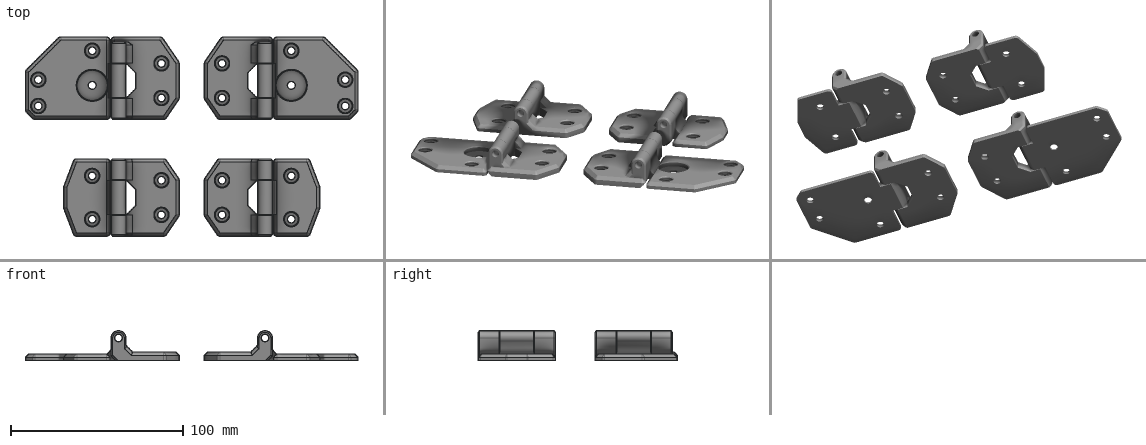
import cadquery as cq
import math

PIN_X = -42.5
HINGE_SPACING = 14.5
LARGE_CENTER_Y = 32.5
SMALL_CENTER_Y = -35.4

KNUCKLE_RADIUS = 8.7 / 2
HINGE_HEIGHT = 17.4
KNUCKLE_Z = HINGE_HEIGHT - KNUCKLE_RADIUS
PIN_Z = 13.1
PIN_HOLE_DIAMETER = 4.3
HALF_LENGTH = 22.52
HALF_SLOT = 10.2
MIDDLE_KNUCKLE_LENGTH = 20.0
KNUCKLE_CHAMFER = 1.0
HEEL_CHAMFER = 2.7
GUSSET = 3.9

CORNER_RADIUS = 2.1
EDGE_CHAMFER = 2.0
FORK_THICKNESS = 5.0
TONGUE_THICKNESS = 3.9
LEAF_GAP = 0.5
LARGE_MARGIN = 2.9

KNUCKLE_LEFT = PIN_X - KNUCKLE_RADIUS
KNUCKLE_RIGHT = PIN_X + KNUCKLE_RADIUS
TONGUE_EDGE = KNUCKLE_LEFT - LEAF_GAP

FORK_RIGHT = -HINGE_SPACING / 2
FORK_HALF_STRAIGHT = 10.6
FORK_CUT_RUN = 8.1
WINDOW_DEPTH = 5.6
FORK_SCREW_X = -17.5
FORK_SCREW_Y = 10.0

LARGE_LEFT = -96.7
LARGE_TOP_CUT = 19.7
LARGE_BOTTOM_CUT = 4.8
LARGE_SCREWS = [(-57.8, 17.4), (-89.1, 0.5), (-89.1, -14.7)]
RECESS_CENTER = (-57.8, -2.7)
RECESS_DIAMETER = 17.5
RECESS_DEPTH = 2.9
RECESS_HOLE_DIAMETER = 4.5
LARGE_FOOT = (5.6, TONGUE_THICKNESS)

SMALL_LEFT = -74.5
SMALL_HALF_STRAIGHT = 6.2
SMALL_CUT_RUN = 6.2
SMALL_SCREWS = [(-57.8, 12.5), (-57.8, -12.5)]
SMALL_FOOT = (5.5, 5.0)

SCREW_DIAMETER = 4.3
SCREW_HEAD_DIAMETER = 8.0
HEAD_DEPTH = 1.5
RIM_CHAMFER = 0.5


def plate(outline, thickness):
    """Flat plate with rounded corners and a chamfered top rim."""
    return (
        cq.Workplane("XY")
        .polyline(outline)
        .close()
        .extrude(thickness)
        .edges("|Z")
        .fillet(CORNER_RADIUS)
        .faces(">Z")
        .chamfer(EDGE_CHAMFER)
    )


def along_y(profile, start, end):
    """Extrude an XZ profile from Y = start to Y = end."""
    return profile.extrude(start - end).translate((0, start, 0))


def profile_plane():
    return cq.Workplane("XZ")


def stepped_hole(position, top, hole_diameter, head_diameter, depth):
    """Cutter: through hole, flat-bottomed recess and chamfered rim."""
    floor = top - depth
    head_radius = head_diameter / 2
    half_section = [
        (0, 0),
        (hole_diameter / 2, 0),
        (hole_diameter / 2, floor),
        (head_radius, floor),
        (head_radius, top - RIM_CHAMFER),
        (head_radius + RIM_CHAMFER, top),
        (0, top),
    ]
    cutter = profile_plane().polyline(half_section).close().revolve(360, (0, 0), (0, 1))
    return cutter.translate((*position, 0))


def screw_hole(position, top):
    return stepped_hole(position, top, SCREW_DIAMETER, SCREW_HEAD_DIAMETER, HEAD_DEPTH)


def pin_hole():
    hole = profile_plane().center(PIN_X, PIN_Z).circle(PIN_HOLE_DIAMETER / 2)
    return along_y(hole, -HALF_LENGTH, HALF_LENGTH)


def fork_knuckle():
    """Outer knuckle at the -Y end, with its gusset; both are chamfered at the outer end."""
    post_profile = (
        profile_plane()
        .moveTo(KNUCKLE_LEFT + HEEL_CHAMFER, 0)
        .lineTo(KNUCKLE_LEFT, HEEL_CHAMFER)
        .lineTo(KNUCKLE_LEFT, KNUCKLE_Z)
        .threePointArc((PIN_X, HINGE_HEIGHT), (KNUCKLE_RIGHT, KNUCKLE_Z))
        .lineTo(KNUCKLE_RIGHT, 0)
        .close()
    )
    post = along_y(post_profile, -HALF_LENGTH, -HALF_SLOT)
    post = post.faces("<Y").edges("not <Z").chamfer(KNUCKLE_CHAMFER)

    gusset_foot = KNUCKLE_RIGHT + FORK_THICKNESS + GUSSET
    wedge = [(PIN_X, 0), (gusset_foot, 0), (PIN_X, gusset_foot - PIN_X)]
    gusset = along_y(profile_plane().polyline(wedge).close(), -HALF_LENGTH, -HALF_SLOT)
    gusset = gusset.faces("<Y").edges(">(1, 0, 1)")
    return post.union(gusset.chamfer(EDGE_CHAMFER))


def fork_leaf(margin):
    """Leaf with the two outer knuckles; margin is the plate beyond the +Y knuckle."""
    top = HALF_LENGTH + margin
    slope = FORK_CUT_RUN / (HALF_LENGTH - FORK_HALF_STRAIGHT)
    top_run = slope * (top - FORK_HALF_STRAIGHT)
    outline = [
        (PIN_X, -HALF_LENGTH),
        (FORK_RIGHT - FORK_CUT_RUN, -HALF_LENGTH),
        (FORK_RIGHT, -FORK_HALF_STRAIGHT),
        (FORK_RIGHT, FORK_HALF_STRAIGHT),
        (FORK_RIGHT - top_run, top),
    ]
    if margin:
        ledge = HALF_LENGTH - KNUCKLE_CHAMFER - EDGE_CHAMFER
        outline += [
            (KNUCKLE_LEFT, top),
            (KNUCKLE_LEFT, ledge),
            (PIN_X, ledge),
        ]
    else:
        outline.append((PIN_X, top))
    leaf = plate(outline, FORK_THICKNESS)

    window = [
        (PIN_X, -HALF_SLOT),
        (KNUCKLE_RIGHT, -HALF_SLOT),
        (KNUCKLE_RIGHT + WINDOW_DEPTH, WINDOW_DEPTH - HALF_SLOT),
        (KNUCKLE_RIGHT + WINDOW_DEPTH, HALF_SLOT - WINDOW_DEPTH),
        (KNUCKLE_RIGHT, HALF_SLOT),
        (PIN_X, HALF_SLOT),
    ]
    leaf = leaf.cut(cq.Workplane("XY").polyline(window).close().extrude(FORK_THICKNESS))

    knuckle = fork_knuckle()
    leaf = leaf.union(knuckle).union(knuckle.mirror("XZ"))
    heel = [
        (KNUCKLE_LEFT, 0),
        (KNUCKLE_LEFT + HEEL_CHAMFER, 0),
        (KNUCKLE_LEFT, HEEL_CHAMFER),
    ]
    leaf = leaf.cut(along_y(profile_plane().polyline(heel).close(), -HALF_LENGTH, top))
    for y in (-FORK_SCREW_Y, FORK_SCREW_Y):
        leaf = leaf.cut(screw_hole((FORK_SCREW_X, y), FORK_THICKNESS))
    return leaf.cut(pin_hole())


def middle_knuckle(foot):
    """Middle knuckle on a web whose hollow side ends at 45 degrees at the foot point."""
    foot_run, foot_z = foot
    drop = KNUCKLE_Z - foot_z
    diagonal = math.sqrt(0.5)
    hollow_radius = (foot_run**2 + drop**2 - KNUCKLE_RADIUS**2) / (
        2 * KNUCKLE_RADIUS + (drop - foot_run) / diagonal
    )
    foot_x = PIN_X - foot_run
    center_x = foot_x - diagonal * hollow_radius
    center_z = foot_z + diagonal * hollow_radius
    angle = math.atan2(KNUCKLE_Z - center_z, PIN_X - center_x)
    touch = (
        PIN_X - KNUCKLE_RADIUS * math.cos(angle),
        KNUCKLE_Z - KNUCKLE_RADIUS * math.sin(angle),
    )
    middle_angle = (angle - math.pi / 4) / 2
    hollow_middle = (
        center_x + hollow_radius * math.cos(middle_angle),
        center_z + hollow_radius * math.sin(middle_angle),
    )
    profile = (
        profile_plane()
        .moveTo(KNUCKLE_RIGHT - HEEL_CHAMFER, 0)
        .lineTo(KNUCKLE_RIGHT, HEEL_CHAMFER)
        .lineTo(KNUCKLE_RIGHT, KNUCKLE_Z)
        .threePointArc((PIN_X, HINGE_HEIGHT), touch)
        .threePointArc(hollow_middle, (foot_x, foot_z))
        .lineTo(foot_x - foot_z, 0)
        .close()
    )
    half = MIDDLE_KNUCKLE_LENGTH / 2
    return along_y(profile, -half, half).cut(pin_hole())


def tongue_leaf(outline, foot, screws):
    """Leaf with the middle knuckle and its screw holes."""
    leaf = plate(outline, TONGUE_THICKNESS)
    leaf = leaf.union(middle_knuckle(foot))
    for position in screws:
        leaf = leaf.cut(screw_hole(position, TONGUE_THICKNESS))
    return leaf


def large_tongue_leaf():
    top = HALF_LENGTH + LARGE_MARGIN
    outline = [
        (TONGUE_EDGE, -HALF_LENGTH),
        (TONGUE_EDGE, top),
        (LARGE_LEFT + LARGE_TOP_CUT, top),
        (LARGE_LEFT, top - LARGE_TOP_CUT),
        (LARGE_LEFT, LARGE_BOTTOM_CUT - HALF_LENGTH),
        (LARGE_LEFT + LARGE_BOTTOM_CUT, -HALF_LENGTH),
    ]
    leaf = tongue_leaf(outline, LARGE_FOOT, LARGE_SCREWS)
    return leaf.cut(
        stepped_hole(
            RECESS_CENTER, TONGUE_THICKNESS, RECESS_HOLE_DIAMETER, RECESS_DIAMETER, RECESS_DEPTH
        )
    )


def small_tongue_leaf():
    outline = [
        (TONGUE_EDGE, -HALF_LENGTH),
        (TONGUE_EDGE, HALF_LENGTH),
        (SMALL_LEFT + SMALL_CUT_RUN, HALF_LENGTH),
        (SMALL_LEFT, SMALL_HALF_STRAIGHT),
        (SMALL_LEFT, -SMALL_HALF_STRAIGHT),
        (SMALL_LEFT + SMALL_CUT_RUN, -HALF_LENGTH),
    ]
    return tongue_leaf(outline, SMALL_FOOT, SMALL_SCREWS)


large_leaves = [fork_leaf(LARGE_MARGIN), large_tongue_leaf()]
small_leaves = [fork_leaf(0), small_tongue_leaf()]

bodies = []
for leaves, center_y in ((large_leaves, LARGE_CENTER_Y), (small_leaves, SMALL_CENTER_Y)):
    for leaf in leaves:
        left = leaf.translate((0, center_y, 0))
        bodies += [left.val(), left.mirror("YZ").val()]

result = cq.Compound.makeCompound(bodies)